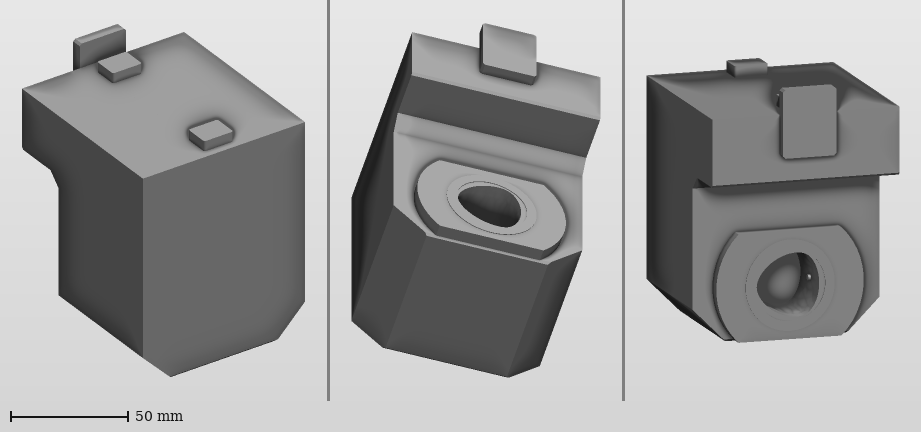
import cadquery as cq
import math

total_length = 96.5
body_width = 84.0
total_height = 116.0
edge_break = 1.0

key_thickness = 5.0
body_top = 104.0
overhang_height = 29.9
wall_x = 32.7
inner_corner_chamfer = 6.0
side_chamfer = 15.0

key_width = 24.0
key_height = 30.0
pad_length = 12.1
pad_width = 15.1
pad_height = 5.0
pad_centers_x = (17.5, 86.5)

flange_thickness = 5.5
flange_diameter = 66.2
flange_height = 47.5
bore_z = 24.1
ring_outer_diameter = 40.0
ring_inner_diameter = 31.5
ring_height = 0.3

socket_depth = 24.0
socket_mean_radius = 14.0
lobe_eccentricity = 0.9
taper_reduction = 0.6
curve_points = 48
pin_diameter = 2.5
pin_tip_radius = 11.6
pin_outer_radius = 16.2
pin_depth = 11.6

flange_face_x = wall_x - flange_thickness


def make_block():
    """L-shaped side outline with long chamfers along both lower sides."""
    overhang_z = body_top - overhang_height
    outline = [
        (key_thickness, body_top),
        (total_length, body_top),
        (total_length, edge_break),
        (total_length - edge_break, 0),
        (wall_x + edge_break, 0),
        (wall_x, edge_break),
        (wall_x, overhang_z - inner_corner_chamfer),
        (wall_x - inner_corner_chamfer, overhang_z),
        (key_thickness + edge_break, overhang_z),
        (key_thickness, overhang_z + edge_break),
    ]
    block = cq.Workplane("XZ").polyline(outline).close().extrude(body_width / 2, both=True)
    half_width = body_width / 2
    for side in (-1, 1):
        corner = [
            (side * half_width, 0),
            (side * half_width, side_chamfer),
            (side * (half_width - side_chamfer), 0),
        ]
        block = block.cut(cq.Workplane("YZ").polyline(corner).close().extrude(total_length))
    return block


def make_key_plate():
    plate = cq.Workplane("YZ").center(0, total_height - key_height / 2)
    plate = plate.rect(key_width, key_height).extrude(key_thickness)
    return plate.edges("|X").chamfer(edge_break)


def make_pad(center_x):
    pad = cq.Workplane("XY", origin=(center_x, 0, body_top))
    pad = pad.rect(pad_length, pad_width).extrude(pad_height)
    return pad.edges("|Z").fillet(edge_break)


def make_flange():
    """Disc with flat top and bottom, carrying a thin raised ring."""
    plane = cq.Workplane("YZ", origin=(flange_face_x, 0, bore_z))
    disc = plane.circle(flange_diameter / 2).extrude(flange_thickness)
    flats = plane.rect(flange_diameter, flange_height).extrude(flange_thickness)
    ring = plane.circle(ring_outer_diameter / 2).circle(ring_inner_diameter / 2).extrude(-ring_height)
    return disc.intersect(flats).union(ring)


def lobed_wire(x, radius):
    """Closed three-lobed curve with one lobe pointing toward +Y."""
    points = []
    for index in range(curve_points):
        angle = 2 * math.pi * index / curve_points
        e = lobe_eccentricity
        across = radius * math.cos(angle) - 2 * e * math.cos(2 * angle) + e * math.cos(4 * angle)
        up = radius * math.sin(angle) + 2 * e * math.sin(2 * angle) + e * math.sin(4 * angle)
        points.append(cq.Vector(x, -across, bore_z + up))
    return cq.Wire.assembleEdges([cq.Edge.makeSpline(points, periodic=True)])


def make_socket():
    mouth = lobed_wire(flange_face_x, socket_mean_radius)
    floor = lobed_wire(flange_face_x + socket_depth, socket_mean_radius - taper_reduction)
    return cq.Workplane(cq.Solid.makeLoft([mouth, floor], True))


def make_pin():
    """Radial pin that projects inward through the -Y socket wall."""
    pin = cq.Workplane("XZ", origin=(flange_face_x + pin_depth, -pin_tip_radius, bore_z))
    return pin.circle(pin_diameter / 2).extrude(pin_outer_radius - pin_tip_radius)


result = make_block().union(make_key_plate()).union(make_flange())
for pad_x in pad_centers_x:
    result = result.union(make_pad(pad_x))
result = result.cut(make_socket()).union(make_pin())